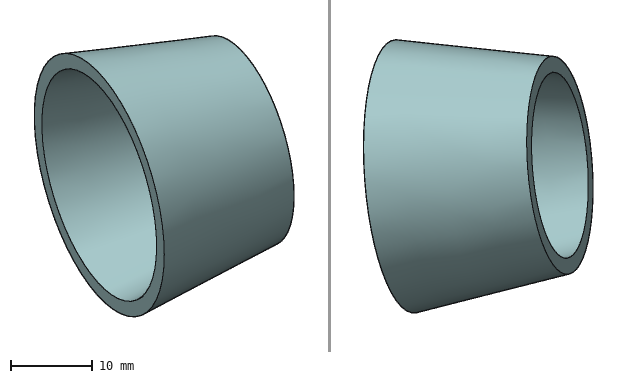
import cadquery as cq

large_diameter = 33.7
small_diameter = 26.9
wall = 2.0
length = 20.0

large_radius = large_diameter / 2
small_radius = small_diameter / 2

wall_section = [
    (large_radius - wall, -length / 2),
    (large_radius, -length / 2),
    (small_radius, length / 2),
    (small_radius - wall, length / 2),
]

result = (
    cq.Workplane("XY")
    .polyline(wall_section)
    .close()
    .revolve(360, (0, 0, 0), (0, 1, 0))
)